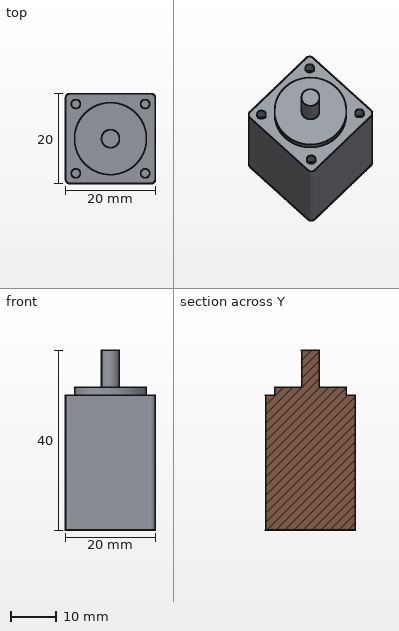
import cadquery as cq

body_width = 20.0
body_height = 30.0
corner_radius = 1.0

overall_height = 40.0
flange_diameter = 16.0
flange_height = 1.8
shaft_diameter = 4.0

hole_diameter = 2.0
hole_spacing = 15.4
hole_depth = 4.0


def make_body():
    """Square motor body standing on the XY plane, with rounded upright edges."""
    block = cq.Workplane("XY").box(body_width, body_width, body_height, centered=(True, True, False))
    return block.edges("|Z").fillet(corner_radius)


def make_cylinder_on_body(diameter, height):
    """Cylinder on the motor axis, rising from the top of the body."""
    return cq.Workplane("XY", origin=(0, 0, body_height)).circle(diameter / 2).extrude(height)


def make_mounting_holes():
    """Four cutters, one near each corner, reaching down from the top of the body."""
    return (
        cq.Workplane("XY", origin=(0, 0, body_height))
        .rect(hole_spacing, hole_spacing, forConstruction=True)
        .vertices()
        .circle(hole_diameter / 2)
        .extrude(-hole_depth)
    )


flange = make_cylinder_on_body(flange_diameter, flange_height)
shaft = make_cylinder_on_body(shaft_diameter, overall_height - body_height)
result = make_body().cut(make_mounting_holes()).union(flange).union(shaft)